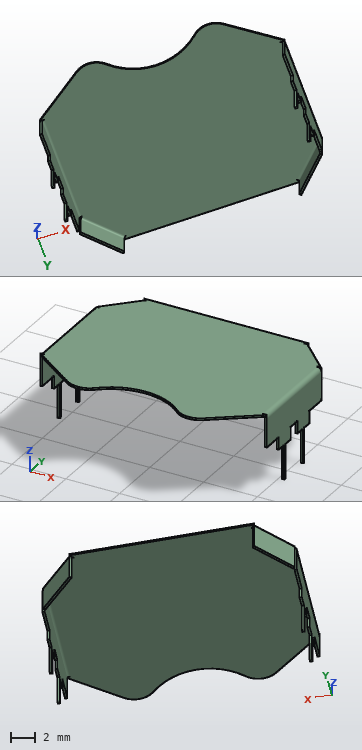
import cadquery as cq
import math

width = 21.1
depth = 15.5
total_height = 7.4
sheet = 0.2
bend_radius = 2 * sheet
half_width = width / 2
flat_half_width = half_width - bend_radius

flange_height = 3.04
side_rear_y = -3.05
side_length = 9.05
side_front_y = side_rear_y - side_length
side_middle_y = (side_rear_y + side_front_y) / 2
corner_length = -side_rear_y * math.sqrt(2) - bend_radius
corner_run = corner_length / math.sqrt(2)

tab_pitch = 3.1
tab_width = 2.0
tab_bottom = 4.2
pin_width = 0.3
pin_tip_radius = 0.1

lobe_x = 5.15
lobe_radius = 2.0
notch_y = -13.53
lobe_y = lobe_radius - depth


def make_plate():
    """Flat top with a wavy front edge made of mutually tangent arcs."""
    rise = notch_y + depth
    radius_sum = (lobe_x**2 + rise**2) / (2 * rise)
    notch_radius = radius_sum - lobe_radius
    notch_center_y = notch_y - notch_radius
    blend = notch_radius / radius_sum
    blend_x = lobe_x * blend
    blend_y = notch_center_y + (lobe_y - notch_center_y) * blend

    dx = half_width - lobe_x
    dy = side_front_y - lobe_y
    normal_angle = math.atan2(dy, dx) - math.acos(lobe_radius / math.hypot(dx, dy))
    tangent_x = lobe_x + lobe_radius * math.cos(normal_angle)
    tangent_y = lobe_y + lobe_radius * math.sin(normal_angle)

    rear_inner = (flat_half_width - corner_run, side_rear_y + corner_run)
    rear_outer_x = rear_inner[0] - rear_inner[1]
    return (
        cq.Workplane("XY")
        .moveTo(-rear_outer_x, 0)
        .lineTo(rear_outer_x, 0)
        .lineTo(*rear_inner)
        .lineTo(flat_half_width, side_rear_y)
        .lineTo(flat_half_width, side_front_y)
        .lineTo(half_width, side_front_y)
        .lineTo(tangent_x, tangent_y)
        .threePointArc((lobe_x, -depth), (blend_x, blend_y))
        .threePointArc((0, notch_y), (-blend_x, blend_y))
        .threePointArc((-lobe_x, -depth), (-tangent_x, tangent_y))
        .lineTo(-half_width, side_front_y)
        .lineTo(-flat_half_width, side_front_y)
        .lineTo(-flat_half_width, side_rear_y)
        .lineTo(-rear_inner[0], rear_inner[1])
        .close()
        .extrude(-sheet)
    )


def make_flange(length):
    """Bend and wall folded down towards +X, running from Y = 0 to +length."""
    inner_radius = bend_radius - sheet
    diagonal = math.sqrt(0.5)
    return (
        cq.Workplane("XZ")
        .lineTo(0, -sheet)
        .threePointArc(
            (inner_radius * diagonal, inner_radius * diagonal - bend_radius),
            (inner_radius, -bend_radius),
        )
        .lineTo(inner_radius, -flange_height)
        .lineTo(bend_radius, -flange_height)
        .lineTo(bend_radius, -bend_radius)
        .threePointArc((bend_radius * diagonal, bend_radius * diagonal - bend_radius), (0, 0))
        .close()
        .extrude(-length)
    )


def make_terminal(y):
    """Wide tab under the side wall, carrying a narrow pin with a rounded tip."""
    wall_x = half_width - sheet / 2
    tab_height = tab_bottom - flange_height
    pin_height = total_height - tab_bottom
    tab = cq.Workplane("XY").box(sheet, tab_width, tab_height)
    pin = cq.Workplane("XY").box(sheet, pin_width, pin_height)
    pin = pin.faces("<Z").edges("|X").fillet(pin_tip_radius)
    tab = tab.translate((wall_x, y, -flange_height - tab_height / 2))
    return tab.union(pin.translate((wall_x, y, -tab_bottom - pin_height / 2)))


side = make_flange(side_length).translate((flat_half_width, side_front_y, 0))
for offset in (-tab_pitch / 2, tab_pitch / 2):
    side = side.union(make_terminal(side_middle_y + offset))

corner = (
    make_flange(corner_length)
    .rotate((0, 0, 0), (0, 0, 1), 45)
    .translate((flat_half_width, side_rear_y, 0))
)

result = make_plate()
for flange in (side, corner):
    result = result.union(flange).union(flange.mirror("YZ"))